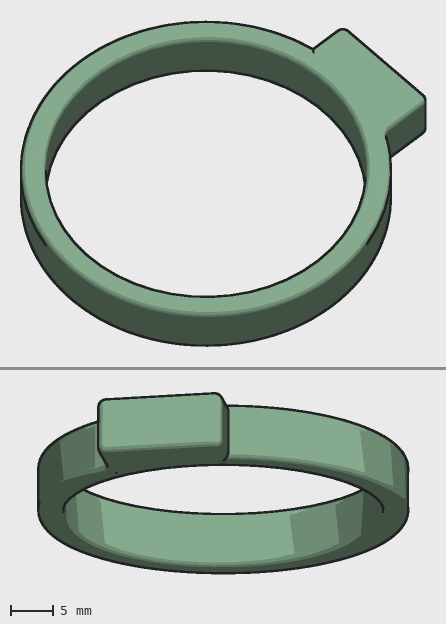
import cadquery as cq
import math

INNER_DIAMETER = 38.0
WALL = 3.0
HEIGHT = 7.0
EDGE_RADIUS = 1.0

BLOCK_TURN = 27.0
BLOCK_WIDTH = 15.0
BLOCK_OFFSET = 3.0
OVERALL_DEPTH = 50.0
CORNER_BLEND_RADIUS = 1.0

INNER_RADIUS = INNER_DIAMETER / 2
OUTER_RADIUS = INNER_RADIUS + WALL
TURN_RADIANS = math.radians(BLOCK_TURN)
BLOCK_SIDE = BLOCK_OFFSET + BLOCK_WIDTH / 2

CORNER_CENTRE_Y = OVERALL_DEPTH - OUTER_RADIUS - EDGE_RADIUS
CORNER_RISE = (BLOCK_SIDE - EDGE_RADIUS) * math.sin(TURN_RADIANS)
BLOCK_REACH = (CORNER_CENTRE_Y - CORNER_RISE) / math.cos(TURN_RADIANS) + EDGE_RADIUS


def make_block():
    """Block with rounded upright corners on its outer face."""
    length = BLOCK_REACH - INNER_RADIUS
    block = (
        cq.Workplane("XY")
        .center(BLOCK_OFFSET, INNER_RADIUS + length / 2)
        .rect(BLOCK_WIDTH, length)
        .extrude(HEIGHT)
        .edges("|Z and >Y")
        .fillet(EDGE_RADIUS)
    )
    return block.rotate((0, 0, 0), (0, 0, 1), BLOCK_TURN)


def inside_corner():
    """Point at mid-height where the block's +X side meets the outside of the ring."""
    angle = math.acos(BLOCK_SIDE / OUTER_RADIUS) + TURN_RADIANS
    return (OUTER_RADIUS * math.cos(angle), OUTER_RADIUS * math.sin(angle), HEIGHT / 2)


def make_ring():
    """Ring and block in one piece, with rounded edges."""
    disc = cq.Workplane("XY").circle(OUTER_RADIUS).extrude(HEIGHT)
    bore = cq.Workplane("XY").circle(INNER_RADIUS).extrude(HEIGHT)
    body = disc.union(make_block()).cut(bore)
    body = body.faces("<Z or >Z").edges().fillet(EDGE_RADIUS)

    corner_edge = body.edges("|Z").edges(cq.NearestToPointSelector(inside_corner()))
    return corner_edge.fillet(CORNER_BLEND_RADIUS)


ring = make_ring().solids()

result = cq.Compound.makeCompound([ring.val()])